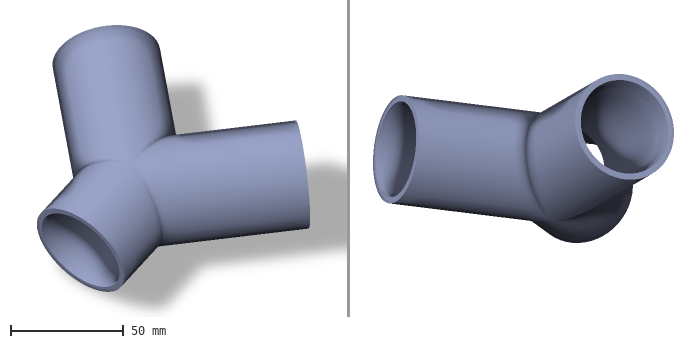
import cadquery as cq
import math

overall_width = 141.9
outer_diameter = 48.2
bore_diameter = 42.7
stem_length = 38.0
branch_angle = 45.0

outer_radius = outer_diameter / 2
angle = math.radians(branch_angle)
branch_length = (overall_width / 2 - outer_radius * math.cos(angle)) / math.sin(angle)

legs = [
    ((0, -1, 0), stem_length),
    ((math.sin(angle), math.cos(angle), 0), branch_length),
    ((-math.sin(angle), math.cos(angle), 0), branch_length),
]


def joined_cylinders(diameter):
    """Join one cylinder per leg, from the junction to the open end."""
    body = None
    for direction, length in legs:
        leg_plane = cq.Plane(origin=(0, 0, 0), xDir=(0, 0, 1), normal=direction)
        leg = cq.Workplane(leg_plane).circle(diameter / 2).extrude(length)
        body = leg if body is None else body.union(leg)
    return body


result = joined_cylinders(outer_diameter).cut(joined_cylinders(bore_diameter))